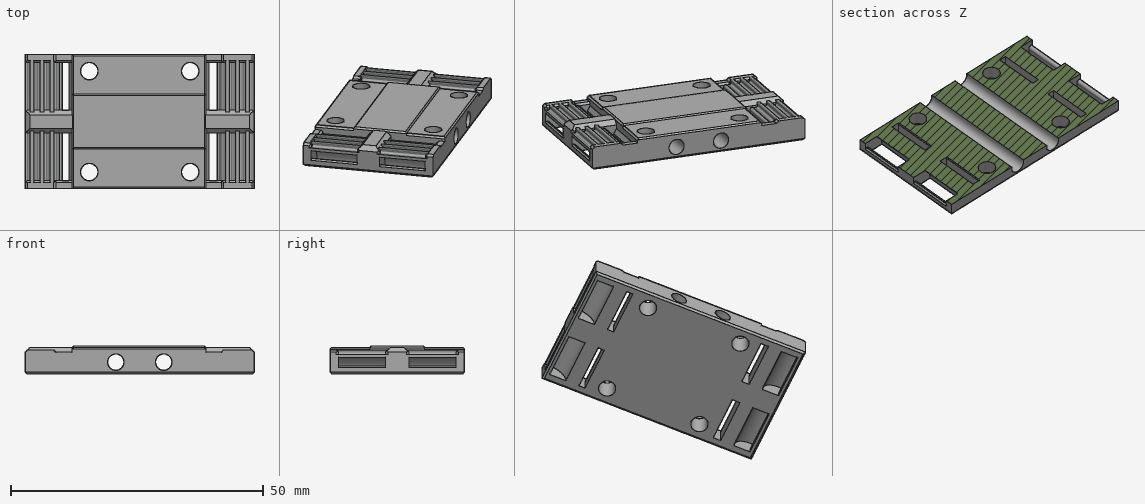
import cadquery as cq
import math

LENGTH = 45.4
WIDTH = 26.6
HEIGHT = 5.6

FRAME_TOP = 4.83
BASE_CHAMFER = 0.4
END_CHAMFER = 0.45

LEFT_BLOCK_INSET = 9.25
RIGHT_BLOCK_INSET = 9.55
BLOCK_LENGTH = LENGTH - LEFT_BLOCK_INSET - RIGHT_BLOCK_INSET
BLOCK_CENTER_X = (LEFT_BLOCK_INSET - RIGHT_BLOCK_INSET) / 2
BLOCK_TOP = 5.33
BLOCK_SIDE_CHAMFER = 0.3
BLOCK_END_CHAMFER = 0.35
STRIP_LIP = 0.1
PAD_HALF_WIDTH = 5.43
PAD_SIDE_CHAMFER = HEIGHT - BLOCK_TOP

BELT_Y = 6.98
BELT_WIDTH = 9.4
MOUTH_FLARE = 0.42
CHANNEL_INNER_Y = BELT_Y - BELT_WIDTH / 2
CHANNEL_OUTER_Y = BELT_Y + BELT_WIDTH / 2

SPINE_HALF_WIDTH = CHANNEL_INNER_Y - MOUTH_FLARE
SPINE_TOP = BLOCK_TOP
SPINE_CHAMFER = SPINE_TOP - FRAME_TOP

LEFT_STEP_START = 5.65
RIGHT_STEP_START = 6.1
STEP_DEPTH = 0.45

TOOTH_PITCH = 2.0
FIRST_GROOVE = 0.33
TOOTH_COUNT = 3
GROOVE_FLOOR = 3.95
FLOOR_HALF_WIDTH = 0.15
ROOT_RADIUS = 0.46
TIP_RADIUS = 0.12
GROOVE_HALF_WIDTH = FLOOR_HALF_WIDTH + ROOT_RADIUS

NOSE_INSET = 7.35
NOSE_START = 0.5
WELL_SLOPE_RUN = 0.6
WELL_SLOPE_TOP = 3.65
WELL_SLOPE_BOTTOM = 2.6

TUNNEL_CENTER = 1.0
TUNNEL_RADIUS = 3.5
SILL_HEIGHT = 1.36
SILL_CHAMFER = 0.3

MOUNT_DIAMETER = 3.4
MOUNT_X = 10.0
MOUNT_Y = 10.0
CROSS_DIAMETER = 3.2
CROSS_X = 4.75
CROSS_Z = 2.4

CLEARANCE = 1.0
END_X = -LENGTH / 2


def extrude_along_y(outline, y_min, y_max):
    """Extrude an XZ outline between two Y positions."""
    return outline.extrude(y_min - y_max).translate((0, y_min, 0))


def chamfered_bar(half_length, half_width, top, end_chamfer, side_chamfer):
    """Bar above the base chamfer, with its end and side top edges cut at 45 degrees."""
    outline = cq.Workplane("XY").workplane(offset=BASE_CHAMFER).rect(2 * half_length, 2 * half_width)
    bar = outline.extrude(top - BASE_CHAMFER)
    bar = bar.faces(">Z").edges("|Y").chamfer(end_chamfer)
    return bar.faces(">Z").edges("|X").chamfer(side_chamfer)


def frame():
    slab = cq.Workplane("XY").box(LENGTH, WIDTH, FRAME_TOP, (True, True, False))
    slab = slab.faces("<Z").edges().chamfer(BASE_CHAMFER)
    return slab.faces(">Z").edges("|Y").chamfer(END_CHAMFER)


def spine():
    end_chamfer = END_CHAMFER + SPINE_CHAMFER
    return chamfered_bar(LENGTH / 2, SPINE_HALF_WIDTH, SPINE_TOP, end_chamfer, SPINE_CHAMFER)


def block():
    """Strips whose end chamfer stops below their top, under a fully chamfered pad."""
    half_length = BLOCK_LENGTH / 2
    shoulder = BLOCK_TOP - STRIP_LIP
    top_half = half_length - BLOCK_END_CHAMFER
    profile = (
        cq.Workplane("XZ")
        .moveTo(-half_length, BASE_CHAMFER)
        .lineTo(-half_length, shoulder - BLOCK_END_CHAMFER)
        .lineTo(-top_half, shoulder)
        .lineTo(-top_half, BLOCK_TOP)
        .lineTo(top_half, BLOCK_TOP)
        .lineTo(top_half, shoulder)
        .lineTo(half_length, shoulder - BLOCK_END_CHAMFER)
        .lineTo(half_length, BASE_CHAMFER)
        .close()
    )
    strips = extrude_along_y(profile, -WIDTH / 2, WIDTH / 2)
    strips = strips.faces(">Z").edges("|X").chamfer(BLOCK_SIDE_CHAMFER)
    pad = chamfered_bar(half_length, PAD_HALF_WIDTH, HEIGHT, BLOCK_END_CHAMFER, PAD_SIDE_CHAMFER)
    return strips.union(pad).translate((BLOCK_CENTER_X, 0, 0))


def root_arc(outline, center_x, side):
    """Round the groove root on one side; side -1 runs down to the floor, +1 runs up from it."""
    diagonal = ROOT_RADIUS * math.sqrt(0.5)
    arc_x = center_x + side * FLOOR_HALF_WIDTH
    arc_z = GROOVE_FLOOR + ROOT_RADIUS
    floor_point = (arc_x, GROOVE_FLOOR)
    flank_point = (arc_x + side * ROOT_RADIUS, arc_z)
    end = flank_point if side > 0 else floor_point
    return outline.threePointArc((arc_x + side * diagonal, arc_z - diagonal), end)


def tip_arc(outline, flank_x, side):
    """Round the tooth tip on one side of a flank; side +1 runs up onto the tooth, -1 down off it."""
    diagonal = TIP_RADIUS * math.sqrt(0.5)
    arc_x = flank_x + side * TIP_RADIUS
    arc_z = FRAME_TOP - TIP_RADIUS
    end = (arc_x, FRAME_TOP) if side > 0 else (flank_x, arc_z)
    return outline.threePointArc((arc_x - side * diagonal, arc_z + diagonal), end)


def clamp_opening(block_inset):
    """Everything open to the top: the grooves and the well beside the block."""
    block_x = END_X + block_inset
    well_x = block_x - WELL_SLOPE_RUN
    nose_x = END_X + NOSE_INSET
    above = HEIGHT + CLEARANCE
    flank_bottom = GROOVE_FLOOR + ROOT_RADIUS
    flank_top = FRAME_TOP - TIP_RADIUS

    groove_x = END_X + FIRST_GROOVE
    outline = cq.Workplane("XZ").moveTo(END_X, above).lineTo(END_X, GROOVE_FLOOR)
    for _ in range(TOOTH_COUNT):
        outline = outline.lineTo(groove_x + FLOOR_HALF_WIDTH, GROOVE_FLOOR)
        outline = root_arc(outline, groove_x, 1)
        flank_x = groove_x + GROOVE_HALF_WIDTH
        outline = tip_arc(outline.lineTo(flank_x, flank_top), flank_x, 1)
        groove_x += TOOTH_PITCH
        flank_x = groove_x - GROOVE_HALF_WIDTH
        outline = tip_arc(outline.lineTo(flank_x - TIP_RADIUS, FRAME_TOP), flank_x, -1)
        outline = root_arc(outline.lineTo(flank_x, flank_bottom), groove_x, -1)

    crest_x = groove_x + NOSE_START
    crest_rise = ROOT_RADIUS - math.sqrt(ROOT_RADIUS**2 - (NOSE_START - FLOOR_HALF_WIDTH) ** 2)
    crest_z = GROOVE_FLOOR + crest_rise
    nose_radius = nose_x - crest_x
    outline = (
        outline.lineTo(groove_x + FLOOR_HALF_WIDTH, GROOVE_FLOOR)
        .radiusArc((crest_x, crest_z), -ROOT_RADIUS)
        .radiusArc((nose_x, crest_z - nose_radius), nose_radius)
        .lineTo(nose_x, -CLEARANCE)
        .lineTo(well_x, -CLEARANCE)
        .lineTo(well_x, WELL_SLOPE_BOTTOM)
        .lineTo(block_x, WELL_SLOPE_TOP)
        .lineTo(block_x, above)
        .close()
    )
    return extrude_along_y(outline, 0, WIDTH / 2)


def mouth_channel(block_inset):
    """Belt-wide channel with 45 degree flares up to the top of the frame."""
    half = BELT_WIDTH / 2
    mouth_half = half + MOUTH_FLARE
    above = HEIGHT + CLEARANCE
    channel = (
        cq.Workplane("YZ")
        .moveTo(-half, -CLEARANCE)
        .lineTo(half, -CLEARANCE)
        .lineTo(half, FRAME_TOP - MOUTH_FLARE)
        .lineTo(mouth_half, FRAME_TOP)
        .lineTo(mouth_half, above)
        .lineTo(-mouth_half, above)
        .lineTo(-mouth_half, FRAME_TOP)
        .lineTo(-half, FRAME_TOP - MOUTH_FLARE)
        .close()
        .extrude(block_inset + CLEARANCE)
    )
    return channel.translate((END_X - CLEARANCE, BELT_Y, 0))


def end_mouth():
    """Sideways flare of the first groove where it meets the end face."""
    half = BELT_WIDTH / 2
    mouth_half = half + MOUTH_FLARE
    return (
        cq.Workplane("XY")
        .workplane(offset=GROOVE_FLOOR)
        .moveTo(END_X, BELT_Y - mouth_half)
        .lineTo(END_X + MOUTH_FLARE, BELT_Y - half)
        .lineTo(END_X + MOUTH_FLARE, BELT_Y + half)
        .lineTo(END_X, BELT_Y + mouth_half)
        .close()
        .extrude(HEIGHT)
    )


def rail_step(block_inset, step_start):
    """Step down in the outer rail beside the well, with the mouth flare continued below it."""
    step_z = FRAME_TOP - STEP_DEPTH
    start_x = END_X + step_start
    floor_x = start_x + STEP_DEPTH
    block_x = END_X + block_inset
    step = (
        cq.Workplane("XZ")
        .moveTo(start_x, FRAME_TOP)
        .lineTo(floor_x, step_z)
        .lineTo(block_x, step_z)
        .lineTo(block_x, FRAME_TOP)
        .close()
    )
    flare = (
        cq.Workplane("YZ")
        .moveTo(CHANNEL_OUTER_Y, step_z - MOUTH_FLARE)
        .lineTo(CHANNEL_OUTER_Y + MOUTH_FLARE, step_z)
        .lineTo(CHANNEL_OUTER_Y, step_z)
        .close()
        .extrude(block_x - floor_x)
        .translate((floor_x, 0, 0))
    )
    return extrude_along_y(step, CHANNEL_OUTER_Y, WIDTH / 2).union(flare)


def tunnel():
    """Belt-wide tunnel with a curved roof and a rounded sill, from the end face to the underside."""
    axis_x = END_X + TUNNEL_CENTER
    roof_at_end = math.sqrt(TUNNEL_RADIUS**2 - TUNNEL_CENTER**2)
    crest_x = END_X + SILL_CHAMFER
    crest_z = SILL_HEIGHT + SILL_CHAMFER
    sill_radius = axis_x - crest_x
    outline = (
        cq.Workplane("XZ")
        .moveTo(END_X, SILL_HEIGHT)
        .lineTo(crest_x, crest_z)
        .radiusArc((axis_x, crest_z - sill_radius), sill_radius)
        .lineTo(axis_x, 0)
        .lineTo(axis_x + TUNNEL_RADIUS, 0)
        .radiusArc((END_X, roof_at_end), -TUNNEL_RADIUS)
        .close()
    )
    return extrude_along_y(outline, CHANNEL_INNER_Y, CHANNEL_OUTER_Y)


def belt_clamps(block_inset, step_start):
    """Cutting shape for both belts at the -X end."""
    opening = clamp_opening(block_inset).intersect(mouth_channel(block_inset))
    clamp = opening.union(end_mouth()).union(rail_step(block_inset, step_start)).union(tunnel())
    return clamp.union(clamp.mirror("XZ"))


def mount_holes():
    holes = cq.Workplane("XY").rect(2 * MOUNT_X, 2 * MOUNT_Y, forConstruction=True).vertices()
    return holes.circle(MOUNT_DIAMETER / 2).extrude(HEIGHT)


def cross_holes():
    holes = cq.Workplane("XZ").pushPoints([(-CROSS_X, CROSS_Z), (CROSS_X, CROSS_Z)])
    return extrude_along_y(holes.circle(CROSS_DIAMETER / 2), -WIDTH / 2, WIDTH / 2)


body = frame().union(spine()).union(block())
body = body.cut(belt_clamps(LEFT_BLOCK_INSET, LEFT_STEP_START))
body = body.cut(belt_clamps(RIGHT_BLOCK_INSET, RIGHT_STEP_START).mirror("YZ"))
result = body.cut(mount_holes()).cut(cross_holes())